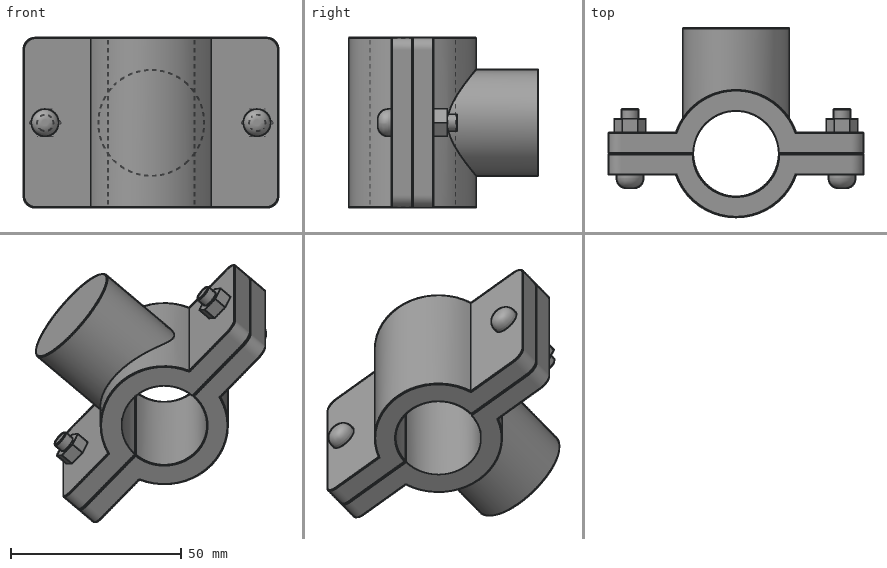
import cadquery as cq
import math

length = 75.0
height = 50.0
flange_thickness = 6.2
corner_radius = 3.6
ring_radius = 18.75
bore_radius = 12.5
edge_chamfer = 0.25

branch_diameter = 31.35
branch_tip_y = 37.0

bolt_spacing = 62.25
bolt_diameter = 5.0
bolt_protrusion = 3.0
nut_across_flats = 8.0
nut_across_corners = nut_across_flats / math.cos(math.pi / 6)
nut_height = 4.0
head_diameter = 8.0
head_height = 4.0
head_rounding = 3.0


def cylinder_along_y(diameter, y_start, y_end, x=0):
    """Round bar parallel to Y, centred on Z = 0."""
    return (
        cq.Workplane("XZ", origin=(x, y_start, 0))
        .circle(diameter / 2)
        .extrude(y_start - y_end)
    )


def z_cylinder(radius):
    """Upright cylinder over the full height, centred on the Z axis."""
    return cq.Workplane("XY").circle(radius).extrude(height / 2, both=True)


def clamp_half(chamfer_bore_ends):
    """Half of the clamp on the +Y side of the parting plane, with broken edges."""
    flanges = (
        cq.Workplane("XY")
        .box(length, flange_thickness, height, centered=(True, False, True))
        .edges("|Y")
        .fillet(corner_radius)
    )
    plus_y_side = cq.Workplane("XY").box(length, length, height, centered=(True, False, True))
    half_ring = z_cylinder(ring_radius).intersect(plus_y_side)
    half = flanges.union(half_ring).cut(z_cylinder(bore_radius))

    parting_edges = half.faces("<Y").edges()
    flange_edges = half.faces("|Y").faces(">Y").edges("(not |Z) or <X or >X")
    end_arcs = half.faces("<Z or >Z").edges("%CIRCLE")
    if not chamfer_bore_ends:
        end_arcs = end_arcs.edges(cq.selectors.RadiusNthSelector(-1))
    return parting_edges.add(flange_edges).add(end_arcs).chamfer(edge_chamfer)


def branch():
    """Round boss on the +Y side, cut away where it would enter the bore."""
    boss = cylinder_along_y(branch_diameter, 0, branch_tip_y).faces(">Y").chamfer(edge_chamfer)
    ring_core = z_cylinder((ring_radius + bore_radius) / 2)
    return boss.cut(ring_core)


def bolt(x):
    """Round-head bolt through both flanges, with a hexagon nut on the +Y side."""
    nut_top = flange_thickness + nut_height
    shank = cylinder_along_y(bolt_diameter, 0, nut_top + bolt_protrusion, x)
    shank = shank.faces(">Y").chamfer(edge_chamfer)
    nut = (
        cq.Workplane("XZ", origin=(x, flange_thickness, 0))
        .polygon(6, nut_across_corners)
        .extrude(-nut_height)
    )
    head_top = -flange_thickness - head_height
    head = cylinder_along_y(head_diameter, 0, head_top, x).faces("<Y").edges().fillet(head_rounding)
    return shank.union(nut).union(head)


branch_half = clamp_half(chamfer_bore_ends=False)
front_half = clamp_half(chamfer_bore_ends=True).mirror("XZ")
result = branch_half.union(front_half).union(branch())
for bolt_x in (-bolt_spacing / 2, bolt_spacing / 2):
    result = result.union(bolt(bolt_x))